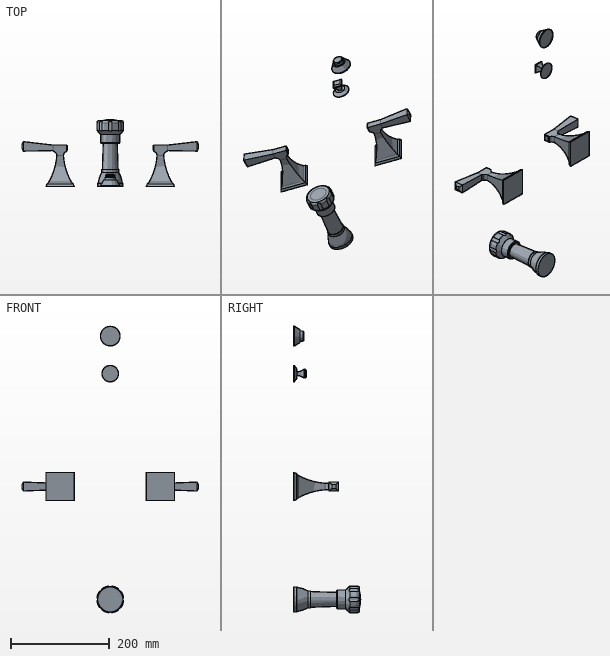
import cadquery as cq
import math


handle_x = 101.5
sprayer_z = -229.0
knob_z = 229.0
cup_z = 305.0

plinth_width = 57.5
plinth_half = plinth_width / 2
plinth_height = 5.0
plinth_top_half = 26.5
band_half = 23.0
band_y = 8.5
pedestal_mid_half = 13.0
pedestal_mid_y = 32.5
neck_half = 7.0
neck_y = 63.0

head_half = 14.5
head_bottom_y = 72.5
head_top_y = 84.0
head_chamfer = 2.0
head_end_bevel = 1.0
throat_half = 9.0
throat_y = 68.5
lever_length = 60.0
lever_tip_bottom_y = 71.5
lever_tip_top_y = 91.0
lever_tip_half_z = 9.0
point_length = 3.2
point_ratio = 0.4

foot_radius = 25.5
foot_height = 6.0
bell_start_radius = 24.5
bell_start_y = 8.0
bell_mid_radius = 22.0
bell_mid_y = 18.5
ring_radius = 17.5
ring_start_y = 28.5
ring_end_y = 34.0
stem_radius = 16.0
stem_end_radius = 14.5
collar_diameter = 39.0
collar_radius = collar_diameter / 2
collar_start_y = 87.0
collar_end_y = 105.0
collar_chamfer = 2.0
spray_head_radius = 27.0
head_start_y = 114.0
head_shoulder_y = 128.5
shoulder_mid_radius = 26.0
shoulder_mid_y = 132.0
spray_face_radius = 24.0
spray_face_y = 133.5
dome_radius = 17.0
dome_height = 2.5

flute_count = 8
flute_radius = 6.5
flute_depth = 1.45

knob_base_radius = 17.0
knob_rim = 1.0
knob_base_top_radius = 10.0
knob_base_height = 6.5
grip_neck_half = 4.0
grip_neck_end_y = 8.0
grip_mid_half = 6.0
grip_mid_y = 15.0
grip_half = 9.0
grip_flare_end_y = 21.0
grip_side_end_y = 23.0
grip_end_half = 6.5
grip_end_y = 25.5

cup_diameter = 40.0
cup_radius = cup_diameter / 2
cup_rim = 2.0
cup_cone_top_radius = 13.5
cup_cone_end_y = 13.0
cup_nose_radius = 10.5
cup_nose_end_y = 20.5
cup_nose_chamfer = 2.0


def square_flare(outline):
    """Solid of square section whose half-width along Y follows the outline in X and in Z."""
    flare_x = outline.mirrorY().extrude(plinth_width, both=True)
    flare_z = flare_x.rotate((0, 0, 0), (0, 1, 0), 90)
    return flare_x.intersect(flare_z)


def section(x, bottom_y, top_y, half_z):
    """Rectangular wire across the lever at a given X."""
    corners = [(bottom_y, -half_z), (top_y, -half_z), (top_y, half_z), (bottom_y, half_z)]
    return cq.Wire.makePolygon([cq.Vector(x, y, z) for y, z in corners], close=True)


def make_pedestal():
    outline = (
        cq.Workplane("XY")
        .lineTo(plinth_half, 0)
        .lineTo(plinth_top_half, plinth_height)
        .lineTo(band_half, band_y)
        .threePointArc((pedestal_mid_half, pedestal_mid_y), (neck_half, neck_y))
        .lineTo(0, neck_y)
    )
    return square_flare(outline)


def make_handle_head():
    head = (
        cq.Workplane("XY")
        .moveTo(0, neck_y)
        .lineTo(neck_half, neck_y)
        .threePointArc((throat_half, throat_y), (head_half - head_chamfer, head_bottom_y - head_chamfer))
        .lineTo(head_half, head_bottom_y)
        .lineTo(head_half, head_top_y)
        .lineTo(0, head_top_y)
        .mirrorY()
        .extrude(neck_half, both=True)
    )
    return head.faces("<X").edges().chamfer(head_end_bevel)


def make_lever():
    tip_x = head_half + lever_length
    root = section(head_half, head_bottom_y, head_top_y, neck_half)
    tip = section(tip_x, lever_tip_bottom_y, lever_tip_top_y, lever_tip_half_z)
    mid_y = (lever_tip_bottom_y + lever_tip_top_y) / 2
    point_half_y = point_ratio * (lever_tip_top_y - lever_tip_bottom_y) / 2
    point = section(
        tip_x + point_length, mid_y - point_half_y, mid_y + point_half_y, point_ratio * lever_tip_half_z
    )
    bar = cq.Workplane(cq.Solid.makeLoft([root, tip], True))
    return bar.union(cq.Workplane(cq.Solid.makeLoft([tip, point], True)))


def make_handle():
    """Handle with its pedestal on the origin and its lever toward +X."""
    return make_pedestal().union(make_handle_head()).union(make_lever())


def make_sprayer():
    dome_curvature = (dome_radius**2 + dome_height**2) / (2 * dome_height)
    body = (
        cq.Workplane("XY")
        .lineTo(foot_radius, 0)
        .lineTo(foot_radius, foot_height)
        .lineTo(bell_start_radius, bell_start_y)
        .threePointArc((bell_mid_radius, bell_mid_y), (ring_radius, ring_start_y))
        .lineTo(ring_radius, ring_end_y)
        .lineTo(stem_radius, ring_end_y)
        .lineTo(stem_end_radius, collar_start_y)
        .lineTo(collar_radius - collar_chamfer, collar_start_y)
        .lineTo(collar_radius, collar_start_y + collar_chamfer)
        .lineTo(collar_radius, collar_end_y)
        .lineTo(spray_head_radius, head_start_y)
        .lineTo(spray_head_radius, head_shoulder_y)
        .threePointArc((shoulder_mid_radius, shoulder_mid_y), (spray_face_radius, spray_face_y))
        .lineTo(dome_radius, spray_face_y)
        .radiusArc((0, spray_face_y + dome_height), -dome_curvature)
        .close()
        .revolve(360, (0, 0), (0, 1))
    )
    flute_offset = spray_head_radius - flute_depth + flute_radius
    flute_length = spray_face_y - collar_end_y
    for index in range(flute_count):
        angle = index * 2 * math.pi / flute_count
        start = cq.Vector(flute_offset * math.cos(angle), collar_end_y, flute_offset * math.sin(angle))
        flute = cq.Solid.makeCylinder(flute_radius, flute_length, start, cq.Vector(0, 1, 0))
        body = body.cut(cq.Workplane(flute))
    return body


def make_knob():
    base = (
        cq.Workplane("XY")
        .lineTo(knob_base_radius, 0)
        .lineTo(knob_base_radius, knob_rim)
        .lineTo(knob_base_top_radius, knob_base_height)
        .lineTo(0, knob_base_height)
        .close()
        .revolve(360, (0, 0), (0, 1))
    )
    grip_outline = (
        cq.Workplane("XY")
        .moveTo(0, knob_base_height)
        .lineTo(grip_neck_half, knob_base_height)
        .lineTo(grip_neck_half, grip_neck_end_y)
        .threePointArc((grip_mid_half, grip_mid_y), (grip_half, grip_flare_end_y))
        .lineTo(grip_half, grip_side_end_y)
        .lineTo(grip_end_half, grip_end_y)
        .lineTo(0, grip_end_y)
    )
    return base.union(square_flare(grip_outline))


def make_cup():
    return (
        cq.Workplane("XY")
        .lineTo(cup_radius, 0)
        .lineTo(cup_radius, cup_rim)
        .lineTo(cup_cone_top_radius, cup_cone_end_y)
        .lineTo(cup_nose_radius, cup_cone_end_y)
        .lineTo(cup_nose_radius, cup_nose_end_y - cup_nose_chamfer)
        .lineTo(cup_nose_radius - cup_nose_chamfer, cup_nose_end_y)
        .lineTo(0, cup_nose_end_y)
        .close()
        .revolve(360, (0, 0), (0, 1))
    )


handles = []
for mirrored in (False, True):
    handle = make_handle().translate((handle_x, 0, 0))
    if mirrored:
        handle = handle.mirror("YZ")
    handles.append(handle.val())

sprayer = make_sprayer().translate((0, 0, sprayer_z))
knob = make_knob().translate((0, 0, knob_z))
cup = make_cup().translate((0, 0, cup_z))

result = cq.Compound.makeCompound([*handles, sprayer.val(), knob.val(), cup.val()])